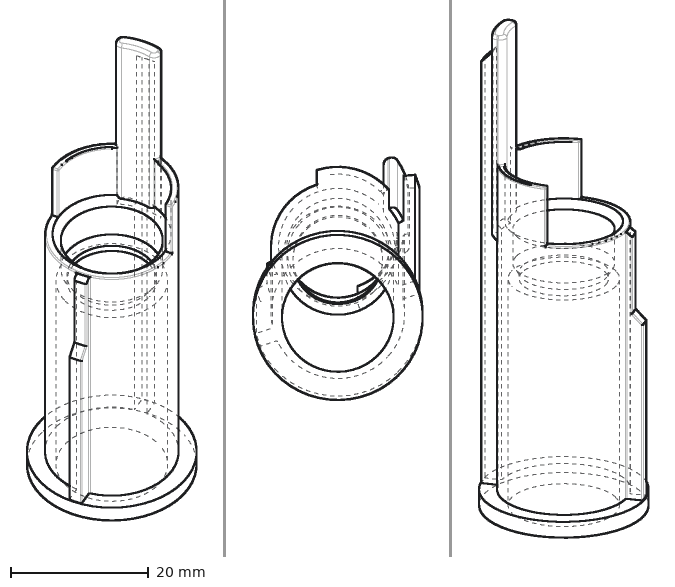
import cadquery as cq

total_height = 74.0
flange_diameter = 24.65
flange_thickness = 2.5

tube_radius = 9.7
front_wall_top = 44.6
back_wall_top = 53.7
wall_round = 0.2

foot_radius = 16.2 / 2
lip_radius = 13.0 / 2
main_radius = 14.8 / 2
mouth_radius = 8.6
lip_bottom = 35.6
lip_top = 36.6
main_bottom = 38.0
main_top = front_wall_top - (mouth_radius - main_radius)

tongue_width = 7.0
tongue_outer_radius = 10.45
tongue_inner_radius = 8.25
tongue_bottom = 41.9
tongue_side_round = 1.0
tongue_top_round = 0.5
tongue_root_round = 0.2

rib_width = 2.0
rib_reach = 12.2
rib_overlap = 0.5
rib_root = tube_radius - rib_overlap
rib_round = 0.2
front_rib_upper_reach = 10.6
front_rib_step_height = 30.1
back_rib_height = 68.7

tolerance = 0.01


def revolve_profile(points):
    return cq.Workplane("XZ").polyline(points).close().revolve(360, (0, 0), (0, 1))


def make_flange():
    return cq.Workplane("XY").circle(flange_diameter / 2).extrude(flange_thickness)


def make_lower_tube():
    """Tube up to the front wall top, with a rounded rim; the rim is filled square below the half wall."""
    tube = cq.Workplane("XY").circle(tube_radius).extrude(front_wall_top).faces(">Z").edges().fillet(wall_round)
    return tube.union(back_half_ring(main_radius, 0, front_wall_top))


def make_bore():
    """Stepped space inside the tube, from the base up to the mouth."""
    return revolve_profile([
        (0, 0),
        (foot_radius, 0),
        (foot_radius, lip_bottom),
        (lip_radius, lip_bottom),
        (lip_radius, lip_top),
        (main_radius, main_bottom),
        (main_radius, main_top),
        (mouth_radius, front_wall_top),
        (0, front_wall_top),
    ])


def back_half_ring(inner_radius, bottom, top):
    """Half ring on the +Y side, out to the tube radius."""
    return (
        cq.Workplane("XY")
        .workplane(offset=bottom)
        .moveTo(tube_radius, 0)
        .threePointArc((0, tube_radius), (-tube_radius, 0))
        .lineTo(-inner_radius, 0)
        .threePointArc((0, inner_radius), (inner_radius, 0))
        .close()
        .extrude(top - bottom)
    )


def make_half_wall():
    return back_half_ring(mouth_radius, front_wall_top, back_wall_top)


def make_plain_tongue():
    """Rounded curved plate whose lower end slopes back into the tube."""
    slope = tongue_outer_radius - tube_radius
    ring = revolve_profile([
        (tongue_inner_radius, tongue_bottom),
        (tube_radius, tongue_bottom),
        (tongue_outer_radius, tongue_bottom + slope),
        (tongue_outer_radius, total_height),
        (tongue_inner_radius, total_height),
    ])
    slab = cq.Workplane("XY").center(0, tube_radius).rect(tongue_width, tube_radius).extrude(total_height)
    tongue = ring.intersect(slab).edges("|Z").fillet(tongue_side_round)
    return tongue.faces(">Z").edges().fillet(tongue_top_round)


def is_tongue_root(edge):
    """True for the edges where the tongue meets the top and the inside of the half wall."""
    box = edge.BoundingBox()
    on_wall_top = box.zmin > back_wall_top - tolerance and box.zmax < back_wall_top + tolerance
    beside_tongue = box.xmax < tongue_width / 2 + tolerance and box.xmin > -tongue_width / 2 - tolerance
    up_the_inside = abs(box.zmax - back_wall_top) < tolerance and box.ymax < mouth_radius
    return beside_tongue and (on_wall_top or up_the_inside)


def make_tongue():
    """Tongue with the strip of half wall beside it, blended together by root fillets."""
    joined = make_half_wall().union(make_plain_tongue())
    roots = [edge for edge in joined.edges().vals() if is_tongue_root(edge)]
    blended = joined.newObject(roots).fillet(tongue_root_round)
    strip_width = tongue_width + 2 * tongue_root_round
    strip = cq.Workplane("XY").center(0, tube_radius).rect(strip_width, tube_radius).extrude(total_height)
    return blended.intersect(strip)


def make_front_rib():
    """Stepped rib with rounded outer edges and concave fillets along the tube."""
    step_rise = rib_reach - front_rib_upper_reach
    tip_drop = front_rib_upper_reach - tube_radius
    bar = cq.Workplane("XY").center(0, -rib_reach / 2).rect(rib_width, rib_reach).extrude(front_wall_top)
    column = cq.Workplane("XY").circle(tube_radius).extrude(front_wall_top).union(bar)
    root_edges = [
        edge for edge in column.edges("|Z").vals()
        if abs(edge.Center().x) > tolerance and -tube_radius < edge.Center().y < -rib_root
    ]
    column = column.newObject(root_edges).fillet(rib_round)
    side = (
        cq.Workplane("YZ")
        .polyline([
            (-rib_root, 0),
            (-rib_reach, 0),
            (-rib_reach, front_rib_step_height),
            (-front_rib_upper_reach, front_rib_step_height + step_rise),
            (-front_rib_upper_reach, front_wall_top - tip_drop),
            (-tube_radius, front_wall_top - wall_round),
            (-rib_root, front_wall_top - wall_round),
        ])
        .close()
        .extrude(rib_width, both=True)
    )
    rib = column.intersect(side)
    outer_edges = [
        edge for edge in rib.edges().vals()
        if edge.BoundingBox().xlen < tolerance
        and edge.BoundingBox().zlen > tolerance
        and abs(abs(edge.Center().x) - rib_width / 2) < tolerance
        and edge.BoundingBox().ymax < -front_rib_upper_reach + tolerance
    ]
    return rib.newObject(outer_edges).fillet(rib_round)


def make_back_rib():
    """Plain rib that runs up behind the tongue to a sloped end."""
    profile = [
        (rib_root, 0),
        (rib_reach, 0),
        (rib_reach, back_rib_height),
        (rib_root, back_rib_height + rib_reach - rib_root),
    ]
    return cq.Workplane("YZ").polyline(profile).close().extrude(rib_width / 2, both=True)


half_wall = make_half_wall().edges("|Z or >Z").fillet(wall_round)
result = make_flange().union(make_lower_tube()).cut(make_bore()).union(half_wall)
result = result.union(make_tongue()).union(make_back_rib()).union(make_front_rib())